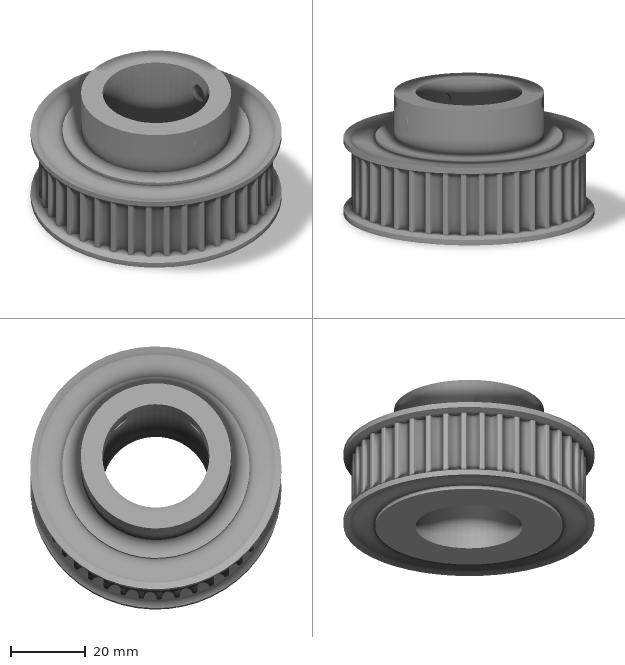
import cadquery as cq
import math

tooth_count = 40
tooth_radius = 31.3
groove_depth = 2.1
groove_radius = 1.7
tip_radius = 0.43
belt_width = 17.0

flange_radius = 33.5
flange_thickness = 1.5
flange_bend_radius = 31.5
flange_flare = 0.6

boss_radius = 25.0
boss_step = 1.0
hub_radius = 20.0
hub_height = 12.0
bore_radius = 14.3

screw_radius = 2.5
screw_length = 4.55
screw_angles = (0, 90)

belt_bottom = boss_step + flange_thickness
belt_top = belt_bottom + belt_width
boss_top = belt_top + flange_thickness + boss_step
hub_top = boss_top + hub_height
screw_height = boss_top + hub_height / 2


def polar(radius, angle):
    return (radius * math.cos(angle), radius * math.sin(angle))


def toothed_rim():
    """Belt track: round grooves joined to the tooth tips by tangent corner arcs."""
    pitch = 2 * math.pi / tooth_count
    groove_center = tooth_radius - groove_depth + groove_radius
    corner_center = tooth_radius - tip_radius
    center_distance = groove_radius + tip_radius
    corner_angle = math.acos(
        (corner_center**2 + groove_center**2 - center_distance**2) / (2 * corner_center * groove_center)
    )
    corner_x, corner_y = polar(corner_center, corner_angle)
    wall_angle = math.atan2(corner_y, corner_x - groove_center)
    wall_x = groove_center + groove_radius * math.cos(wall_angle)
    wall_y = groove_radius * math.sin(wall_angle)
    wall_reach = math.hypot(wall_x, wall_y)
    wall_offset = math.atan2(wall_y, wall_x)
    middle_angle = (wall_angle - math.pi + corner_angle) / 2
    middle_x = corner_x + tip_radius * math.cos(middle_angle)
    middle_y = corner_y + tip_radius * math.sin(middle_angle)
    middle_reach = math.hypot(middle_x, middle_y)
    middle_offset = math.atan2(middle_y, middle_x)

    outline = cq.Workplane("XY").workplane(offset=belt_bottom)
    outline = outline.moveTo(*polar(tooth_radius, -corner_angle))
    for groove in range(tooth_count):
        axis = groove * pitch
        next_tip = axis + pitch - corner_angle
        outline = (
            outline
            .threePointArc(polar(middle_reach, axis - middle_offset), polar(wall_reach, axis - wall_offset))
            .threePointArc(polar(tooth_radius - groove_depth, axis), polar(wall_reach, axis + wall_offset))
            .threePointArc(polar(middle_reach, axis + middle_offset), polar(tooth_radius, axis + corner_angle))
            .threePointArc(polar(tooth_radius, axis + pitch / 2), polar(tooth_radius, next_tip))
        )
    return outline.close().extrude(belt_width)


def radial_cylinder(angle, inner_end):
    """Screw-sized cylinder from inner_end outward, with a flat end level with the crest of the hub."""
    cylinder = cq.Workplane("YZ").workplane(offset=inner_end).center(0, screw_height)
    cylinder = cylinder.circle(screw_radius).extrude(hub_radius - inner_end)
    return cylinder.rotate((0, 0, 0), (0, 0, 1), angle)


def set_screw(angle):
    return radial_cylinder(angle, hub_radius - screw_length)


def screw_hole(angle):
    """Cutter from the hub axis outward, so that it opens one wall only."""
    return radial_cylinder(angle, 0)


def pulley_body():
    boss = cq.Workplane("XY").circle(boss_radius).extrude(boss_top)
    hub = cq.Workplane("XY").circle(hub_radius).extrude(hub_top)
    body = toothed_rim().union(boss).union(hub)
    bore = cq.Workplane("XY").circle(bore_radius).extrude(hub_top)
    body = body.cut(bore)
    for angle in screw_angles:
        body = body.cut(screw_hole(angle))
    return body


def flange(belt_face, away):
    """Dished ring on a boss; away is +1 or -1, the Z direction that leads off the belt."""
    back_face = belt_face + away * flange_thickness
    flare = away * flange_flare
    section = [
        (boss_radius, belt_face),
        (flange_bend_radius, belt_face),
        (flange_radius, belt_face + flare),
        (flange_radius, back_face + flare),
        (flange_bend_radius, back_face),
        (boss_radius, back_face),
    ]
    return cq.Workplane("XZ").polyline(section).close().revolve(360, (0, 0, 0), (0, 1, 0))


pulley = pulley_body()
lower_flange = flange(belt_bottom, -1)
upper_flange = flange(belt_top, 1)
set_screws = [set_screw(angle) for angle in screw_angles]

result = cq.Compound.makeCompound([
    pulley.val(),
    lower_flange.val(),
    upper_flange.val(),
    *[screw.val() for screw in set_screws],
])